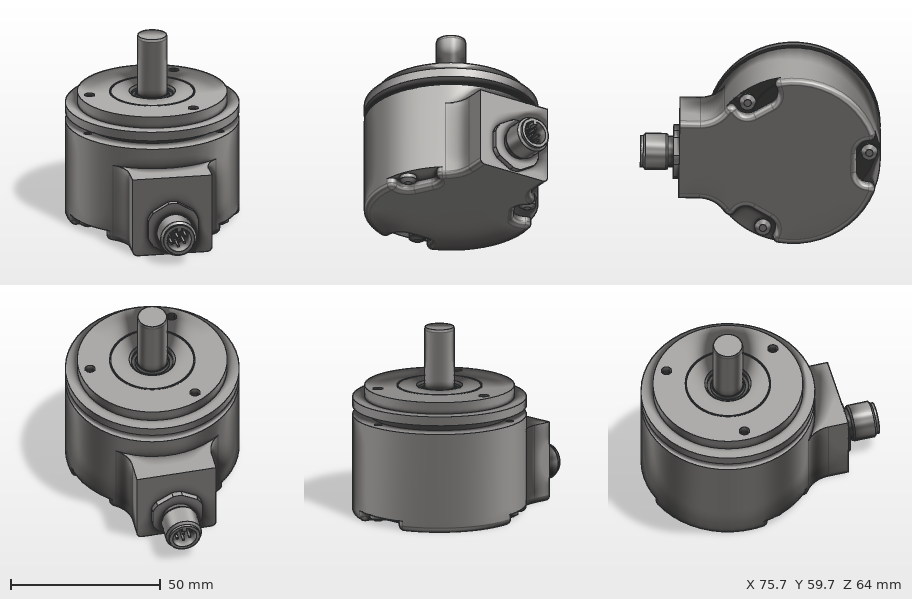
import cadquery as cq
import math


body_radius = 29.0
body_height = 34.0
neck_radius = 23.3
neck_height = 3.0
flange_height = 3.0
pilot_radius = 25.0
pilot_height = 3.95
flange_bottom = body_height + neck_height
pilot_bottom = flange_bottom + flange_height
pilot_top = pilot_bottom + pilot_height

shaft_radius = 5.0
shaft_top = 64.0
shaft_chamfer_height = 0.9
shaft_chamfer_width = 0.2
collar_radius = 5.8
collar_top_radius = 5.4
collar_top_depth = 0.6
collar_bottom_depth = 1.4

recess_radius = 7.0
recess_chamfer = 0.75
recess_depth = 1.5
ring_outer_radius = 14.25
ring_inner_radius = 13.9
ring_depth = 0.4
face_hole_count = 3
face_hole_circle = 21.2
face_hole_radius = 1.7
face_hole_depth = 7.6
drill_tip_angle = 118.0

connector_angle = -30.0
housing_reach = 38.0
housing_half_width = 13.5
housing_height = 27.1
housing_blend_radius = 10.0

base_fillet = 1.9
notch_count = 3
first_notch_angle = -90.0
notch_height = 3.55
notch_end_radius = 4.25
screw_circle = 25.5
screw_offset_angle = 7.5
notch_corner_radius = 2.0
screw_head_radius = 2.8
screw_head_straight = 1.4
screw_head_taper = 1.0
screw_tip_radius = 1.2
screw_hole_radius = 1.2
screw_hole_depth = 3.0

notch_angles = [first_notch_angle + 360.0 * i / notch_count for i in range(notch_count)]
screw_center_out = screw_circle * math.cos(math.radians(screw_offset_angle))
screw_center_aside = screw_circle * math.sin(math.radians(screw_offset_angle))
notch_half_width = screw_center_aside + notch_end_radius

plug_height = 9.6
nut_flat_distance = 8.5
nut_corner_radius = 9.0
nut_thickness = 2.0
plug_neck_radius = 5.15
plug_neck_end = 3.8
plug_radius = 6.05
plug_shoulder_radius = 5.7
plug_shoulder_end = 4.5
plug_chamfer_start = 11.4
plug_chamfer_end = 12.05
plug_tip_radius = 5.2
plug_length = 12.95
socket_radius = 4.1
socket_depth = 8.0
key_half_width = 0.7
key_inner_radius = 2.95
pin_radius = 0.4
pin_circle = 2.7
pin_recess = 1.8
ring_pin_count = 7


def cylinder(radius, bottom, top):
    return cq.Workplane("XY").workplane(offset=bottom).circle(radius).extrude(top - bottom)


def turned(points):
    """Solid of revolution about Z from (radius, z) points."""
    return cq.Workplane("XZ").polyline(points).close().revolve(360, (0, 0, 0), (0, 1, 0))


def turn_about_axis(shape, angle):
    return shape.rotate((0, 0, 0), (0, 0, 1), angle)


def at_polar(shape, radius, angle):
    """Copy of a shape centred on the Z axis, moved out to a polar position."""
    return turn_about_axis(shape.translate((radius, 0, 0)), angle)


def connector_housing(bottom, top):
    """Flat-ended block whose sides blend into the round body with tangent arcs."""
    blend_y = housing_half_width + housing_blend_radius
    blend_distance = body_radius + housing_blend_radius
    blend_x = math.sqrt(blend_distance**2 - blend_y**2)
    touch_x = blend_x * body_radius / blend_distance
    touch_y = blend_y * body_radius / blend_distance
    middle_angle = (math.atan2(touch_y - blend_y, touch_x - blend_x) - math.pi / 2) / 2
    middle_x = blend_x + housing_blend_radius * math.cos(middle_angle)
    middle_y = blend_y + housing_blend_radius * math.sin(middle_angle)
    outline = (
        cq.Workplane("XY")
        .workplane(offset=bottom)
        .moveTo(touch_x, -touch_y)
        .threePointArc((middle_x, -middle_y), (blend_x, -housing_half_width))
        .lineTo(housing_reach, -housing_half_width)
        .lineTo(housing_reach, housing_half_width)
        .lineTo(blend_x, housing_half_width)
        .threePointArc((middle_x, middle_y), (touch_x, touch_y))
        .lineTo(0, 0)
        .close()
    )
    return turn_about_axis(outline.extrude(top - bottom), connector_angle)


def notch():
    """Pocket open to the outside, with rounded inner ends around the screw positions."""
    pocket = cq.Workplane("XY").box(
        body_radius, 2 * notch_half_width, notch_height, centered=(False, True, False)
    )
    pocket = pocket.edges("|Z and <X").fillet(notch_end_radius)
    return pocket.translate((screw_center_out - notch_end_radius, 0, 0))


def base_layer():
    """Lowest slice of the body and housing: notched, with a rounded bottom edge."""
    layer = cylinder(body_radius, 0, notch_height).union(connector_housing(0, notch_height))
    for angle in notch_angles:
        layer = layer.cut(turn_about_axis(notch(), angle))

    outlet_half_angle = math.asin(notch_half_width / body_radius)
    corner_reach = 0.4
    for angle in notch_angles:
        for side in (1, -1):
            turn = math.radians(angle) + side * outlet_half_angle
            x = body_radius * math.cos(turn)
            y = body_radius * math.sin(turn)
            corner = cq.selectors.BoxSelector(
                (x - corner_reach, y - corner_reach, 0),
                (x + corner_reach, y + corner_reach, notch_height),
            )
            layer = layer.edges("|Z").edges(corner).fillet(notch_corner_radius)

    layer = turn_about_axis(layer, -connector_angle)
    layer = layer.faces("<Z").edges("not(>X)").fillet(base_fillet)
    return turn_about_axis(layer, connector_angle)


def screw_head():
    straight_bottom = notch_height - screw_head_straight
    tip = straight_bottom - screw_head_taper
    return turned([
        (0, notch_height),
        (screw_head_radius, notch_height),
        (screw_head_radius, straight_bottom),
        (screw_tip_radius, tip),
        (0, tip),
    ])


def upper_body():
    body = cylinder(body_radius, notch_height, body_height)
    body = body.union(cylinder(neck_radius, body_height, flange_bottom))
    body = body.union(cylinder(body_radius, flange_bottom, pilot_bottom))
    return body.union(cylinder(pilot_radius, pilot_bottom, pilot_top))


def center_recess():
    floor = pilot_top - recess_depth
    return turned([
        (0, floor),
        (recess_radius, floor),
        (recess_radius, pilot_top - recess_chamfer),
        (recess_radius + recess_chamfer, pilot_top),
        (0, pilot_top),
    ])


def ring_groove():
    bottom = pilot_top - ring_depth
    outer = cylinder(ring_outer_radius, bottom, pilot_top)
    return outer.cut(cylinder(ring_inner_radius, bottom, pilot_top))


def shaft():
    """Shaft with a chamfered end and a conical collar in the recess."""
    floor = pilot_top - recess_depth
    return turned([
        (0, floor),
        (collar_radius, floor),
        (collar_radius, pilot_top - collar_bottom_depth),
        (collar_top_radius, pilot_top - collar_top_depth),
        (shaft_radius, pilot_top - collar_top_depth),
        (shaft_radius, shaft_top - shaft_chamfer_height),
        (shaft_radius - shaft_chamfer_width, shaft_top),
        (0, shaft_top),
    ])


def face_hole():
    straight_bottom = pilot_top - face_hole_depth
    tip_length = face_hole_radius / math.tan(math.radians(drill_tip_angle / 2))
    return turned([
        (0, pilot_top),
        (face_hole_radius, pilot_top),
        (face_hole_radius, straight_bottom),
        (0, straight_bottom - tip_length),
    ])


def plug():
    """Nut, threaded sleeve and pin socket, built along Z with the key toward +X."""
    hexagon = cq.Workplane("XY").polygon(6, 2 * nut_flat_distance, circumscribed=True).extrude(nut_thickness)
    nut = turn_about_axis(hexagon, 30).intersect(cylinder(nut_corner_radius, 0, nut_thickness))
    sleeve = turned([
        (0, 0),
        (plug_neck_radius, 0),
        (plug_neck_radius, plug_neck_end),
        (plug_shoulder_radius, plug_neck_end),
        (plug_radius, plug_shoulder_end),
        (plug_radius, plug_chamfer_start),
        (plug_tip_radius, plug_chamfer_end),
        (plug_tip_radius, plug_length),
        (0, plug_length),
    ])
    socket_floor = plug_length - socket_depth
    socket = cylinder(socket_radius, socket_floor, plug_length)
    key = (
        cq.Workplane("XY")
        .box(socket_radius, 2 * key_half_width, socket_depth, centered=(False, True, False))
        .translate((key_inner_radius, 0, socket_floor))
    )
    solid = nut.union(sleeve).cut(socket.cut(key))
    pin = cylinder(pin_radius, socket_floor, plug_length - pin_recess)
    solid = solid.union(pin)
    pin_step = 360.0 / ring_pin_count
    for i in range(ring_pin_count):
        solid = solid.union(at_polar(pin, pin_circle, (i + 0.5) * pin_step))
    return solid


def placed_plug():
    """Lay the plug along +X with its key upward, then seat it on the housing face."""
    lying = plug().rotate((0, 0, 0), (0, 1, 0), 90).rotate((0, 0, 0), (1, 0, 0), 180)
    seated = lying.translate((housing_reach, 0, plug_height))
    return turn_about_axis(seated, connector_angle)


result = base_layer().union(upper_body())
result = result.union(connector_housing(notch_height, housing_height))

for angle in notch_angles:
    screw_angle = angle - screw_offset_angle
    result = result.union(at_polar(screw_head(), screw_circle, screw_angle))
    screw_hole = cylinder(screw_hole_radius, body_height - screw_hole_depth, body_height)
    result = result.cut(at_polar(screw_hole, screw_circle, screw_angle))

result = result.cut(center_recess()).cut(ring_groove())
for i in range(face_hole_count):
    result = result.cut(at_polar(face_hole(), face_hole_circle, 360.0 * i / face_hole_count))
result = result.union(shaft())

result = result.union(placed_plug())